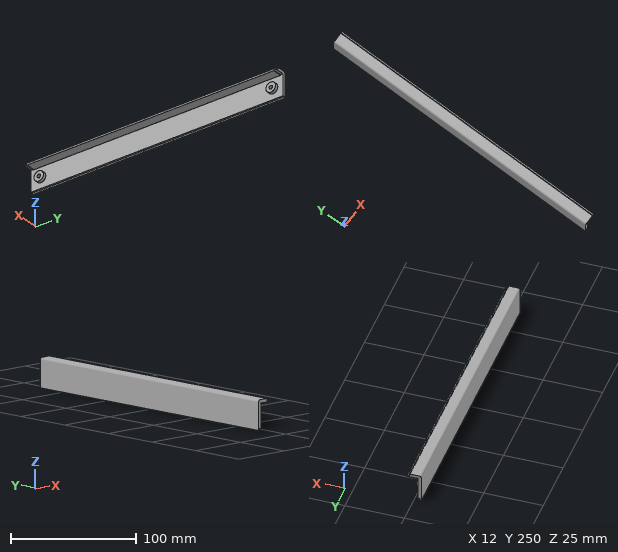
import cadquery as cq

LENGTH = 250.0
WIDTH = 12.0
HEIGHT = 25.0

THICKNESS = 3.0
CORNER_RADIUS = 2.0

FLANGE_LIP_LENGTH = 2.0
FLANGE_REBATE_DEPTH = 1.62
UPRIGHT_LIP_LENGTH = 1.5
UPRIGHT_LIP_THICKNESS = 1.2

PAD_THICKNESS = 0.5
PAD_END_SETBACK = 2.5

BOSS_DIAMETER = 9.5
BOSS_HOLE_DIAMETER = 3.2
BOSS_HEIGHT = 3.0
BOSS_CENTER_Z = 11.8
BOSS_END_DISTANCE = 10.0

FLANGE_UNDERSIDE_Z = HEIGHT - THICKNESS


def angle_bar():
    """L-shaped section, each leg ending in a thin lip, extruded along Y."""
    flange_lip_top = HEIGHT - FLANGE_REBATE_DEPTH
    flange_step_x = WIDTH - FLANGE_LIP_LENGTH
    outline = [
        (0, 0),
        (UPRIGHT_LIP_THICKNESS, 0),
        (UPRIGHT_LIP_THICKNESS, UPRIGHT_LIP_LENGTH),
        (THICKNESS, UPRIGHT_LIP_LENGTH),
        (THICKNESS, FLANGE_UNDERSIDE_Z),
        (WIDTH, FLANGE_UNDERSIDE_Z),
        (WIDTH, flange_lip_top),
        (flange_step_x, flange_lip_top),
        (flange_step_x, HEIGHT),
        (0, HEIGHT),
    ]
    bar = cq.Workplane("XZ").polyline(outline).close().extrude(LENGTH / 2, both=True)
    return bar.edges("|Y and <X and >Z").fillet(CORNER_RADIUS)


def flange_pad():
    """Flat strip hanging from the flange, from the upright leg to the flange edge."""
    pad_width = WIDTH - THICKNESS
    pad_length = LENGTH - 2 * PAD_END_SETBACK
    pad = cq.Workplane("XY").box(pad_width, pad_length, PAD_THICKNESS, centered=(False, True, False))
    return pad.translate((THICKNESS, 0, FLANGE_UNDERSIDE_Z - PAD_THICKNESS))


def boss(center_y):
    """Ring standing on the inner face of the upright leg, axis along X."""
    inner_face = cq.Workplane("YZ", origin=(THICKNESS, center_y, BOSS_CENTER_Z))
    ring = inner_face.circle(BOSS_DIAMETER / 2).circle(BOSS_HOLE_DIAMETER / 2)
    return ring.extrude(BOSS_HEIGHT)


result = angle_bar().union(flange_pad())
for side in (-1, 1):
    result = result.union(boss(side * (LENGTH / 2 - BOSS_END_DISTANCE)))